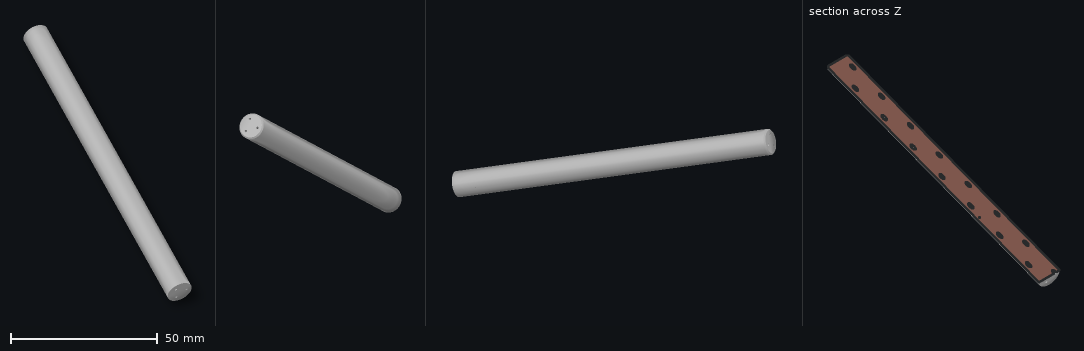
import cadquery as cq
import math

rod_length = 120.0
rod_diameter = 9.0
chamfer_size = 0.5

duct_count = 3
duct_diameter = 0.8
duct_circle_radius = 2.5
first_duct_angle = 10.0
helix_angle = 30.0
helix_pitch = math.pi * rod_diameter / math.tan(math.radians(helix_angle))


def make_rod():
    """Plain cylinder centred on the origin with a chamfered -X end."""
    return (
        cq.Workplane("YZ", origin=(-rod_length / 2, 0, 0))
        .circle(rod_diameter / 2)
        .extrude(rod_length)
        .faces("<X")
        .chamfer(chamfer_size)
    )


def make_ducts():
    """Right-handed ducts running the full length of the rod."""
    end_plane = cq.Workplane("YZ", origin=(-rod_length / 2, 0, 0))
    centres = end_plane.polarArray(
        duct_circle_radius, 90 - first_duct_angle, 360, duct_count
    )
    total_twist = 360 * rod_length / helix_pitch
    return centres.circle(duct_diameter / 2).twistExtrude(rod_length, total_twist)


result = make_rod().cut(make_ducts())